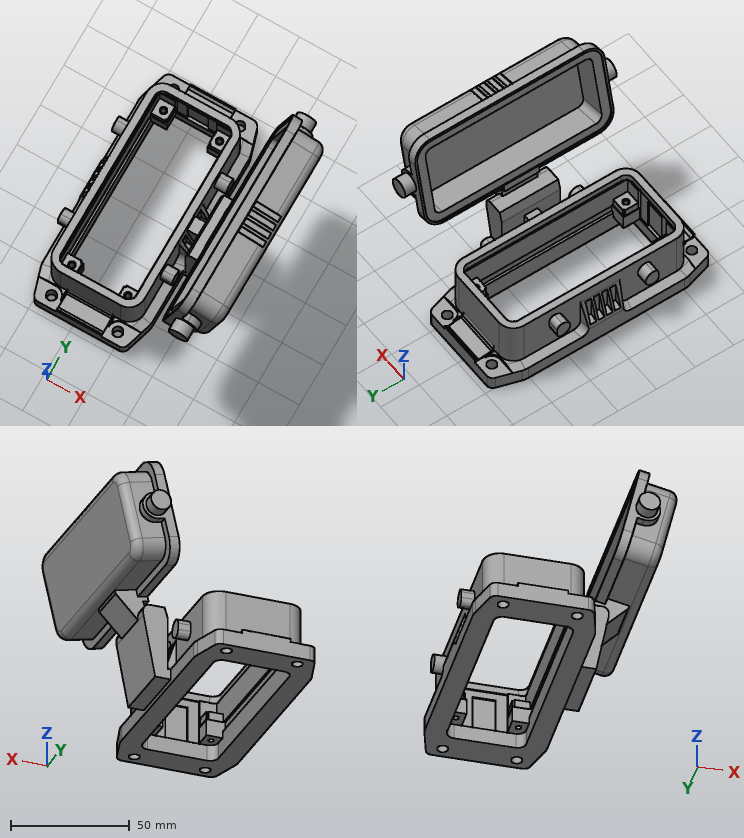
import cadquery as cq
import math

flange_length = 114.2
flange_half_width = 26.6
flange_end_half_width = 22.0
flange_taper_start = 42.0
flange_corner_radius = 3.2
flange_side_radius = 10.8
flange_height = 7.0
skirt_rise = 1.1
skirt_reach = 4.6

mount_hole_x = 16.1
mount_hole_y = 51.8
mount_hole_diameter = 4.7
pad_radius = 4.5

drip_half_width = 11.0
drip_lip_height = 8.6
drip_lip_thickness = 0.7
drip_floor_low = 7.3
drip_floor_high = 8.1
drip_floor_start = 55.0
drip_floor_end = 48.4
drip_shoulder_y = 47.6
drip_shoulder_height = 8.9
drip_top_height = 10.7

housing_half_width = 22.0
housing_half_length = 47.0
housing_height = 30.8
housing_corner_radius = 7.5
root_depth = 1.1
cut_clearance = 1.1

lip_half_width = 18.4
lip_half_length = 43.5
lip_corner_radius = 3.8
lip_bottom = 27.4
chamber_half_width = 17.7
chamber_half_length = 42.8
undercut_half_width = 18.5
undercut_top = 15.0
undercut_bottom = 10.3
throat_half_width = 17.2
throat_height = 7.3
end_recess_half_width = 10.0
end_recess_y = 44.2
end_panel_half_width = 5.0
end_panel_y = 45.0
end_panel_top = 24.0

boss_size = 7.8
boss_top = 18.8
boss_notch = 1.0
boss_step = 0.2
boss_hole_x = 13.6
boss_hole_y = 38.9
boss_hole_diameter = 2.3
boss_countersink_diameter = 3.3

pin_reach = 27.8
pin_radius = 4.1
pin_outer_round = 2.6
pin_y = 23.6
pin_z = 22.0

ramp_top = 24.8
ramp_bottom = 10.3
ramp_root_half_length = 10.2
ramp_tip_half_length = 9.0
ramp_flare = 3.8
slot_count = 4
slot_pitch = 4.2
slot_width = 3.0
slot_top = 23.5
slot_back_bottom = 12.9
slot_front_bottom = 11.2
slot_back_x = 22.4

hinge_half_length = 15.2
hinge_bottom = 2.2
hinge_top = 35.9
hinge_front_x = 27.9
hinge_round = 2.9
hinge_top_front_x = 29.3
hinge_back_x = 39.0
hinge_bottom_back_x = 33.7
hinge_shoulder = 30.8
web_half_length = 3.4
web_top = 26.5
web_flare = 2.4

lid_tilt = 12.8
lid_axis_x = 46.9
lid_axis_z = 64.4
lid_front = -7.2
rim_half_height = 23.6
rim_half_length = 49.1
rim_thickness = 4.6
rim_radius = 9.1
gasket_inset = 1.1
gasket_depth = 0.6
shell_half_height = 20.3
shell_half_length = 45.3
shell_radius = 7.3
shell_depth = 19.2
shell_back_round = 4.0
cavity_half_height = 18.3
cavity_half_length = 43.3
cavity_radius = 3.4
cavity_depth = 14.3
lug_radius = 4.6
lug_reach = 54.8
lug_boss_radius = 6.0
grip_count = 4
grip_pitch = 4.2
grip_width = 2.7
grip_depth = 0.7
grip_gap = 0.5

arm_half_length = 9.1
arm_root = -19.4
arm_tab_bottom = -25.8
arm_tab_depth = 2.5
arm_tip = -34.8
arm_tip_back = -0.5
arm_knee = -21.8
arm_back = 7.3


def block(x_half, y_half, bottom, top):
    """Box centred on the Z axis."""
    return cq.Workplane("XY").box(2 * x_half, 2 * y_half, top - bottom).translate((0, 0, (bottom + top) / 2))


def rounded_block(x_half, y_half, bottom, top, radius):
    return block(x_half, y_half, bottom, top).edges("|Z").fillet(radius)


def box_between(x0, x1, y0, y1, z0, z1):
    corner_box = cq.Workplane("XY").box(x1 - x0, y1 - y0, z1 - z0, centered=False)
    return corner_box.translate((x0, y0, z0))


def side_prism(points, y_half):
    """Outline in X and Z, extended equally to both sides of the XZ plane."""
    return cq.Workplane("XZ").polyline(points).close().extrude(y_half, both=True)


def row(count, pitch):
    return [(i - (count - 1) / 2) * pitch for i in range(count)]


def both_x(shape):
    return shape.union(shape.mirror("YZ"))


def four_corners(shape):
    half = shape.union(shape.mirror("YZ"))
    return half.union(half.mirror("XZ"))


def flange():
    half_length = flange_length / 2
    outline = [
        (flange_half_width, -flange_taper_start),
        (flange_half_width, flange_taper_start),
        (flange_end_half_width, half_length),
        (-flange_end_half_width, half_length),
        (-flange_half_width, flange_taper_start),
        (-flange_half_width, -flange_taper_start),
        (-flange_end_half_width, -half_length),
        (flange_end_half_width, -half_length),
    ]
    plate = cq.Workplane("XY").polyline(outline).close().extrude(flange_height)
    plate = plate.edges("|Z and (>Y or <Y)").fillet(flange_corner_radius)
    plate = plate.edges("|Z and (>X or <X)").fillet(flange_side_radius)
    skirt_angle = math.degrees(math.atan(skirt_reach / skirt_rise))
    skirt = cq.Workplane("XY").workplane(offset=flange_height).polyline(outline).close()
    skirt = skirt.extrude(skirt_rise, taper=skirt_angle)
    rounded_column = plate.translate((0, 0, flange_height))
    return plate.union(skirt.intersect(rounded_column))


def mounting_pads():
    """Space above the flat pads around the four mounting holes."""
    top = flange_height + 2 * skirt_rise
    y_end = flange_length / 2
    pad = box_between(mount_hole_x - pad_radius, flange_half_width, mount_hole_y, y_end, flange_height, top)
    pad = pad.union(box_between(mount_hole_x, flange_half_width, mount_hole_y - pad_radius, y_end,
                                flange_height, top))
    rim = cq.Workplane("XY").workplane(offset=flange_height).center(mount_hole_x, mount_hole_y)
    return four_corners(pad.union(rim.circle(pad_radius).extrude(top - flange_height)))


def mounting_holes():
    hole = cq.Workplane("XY").center(mount_hole_x, mount_hole_y).circle(mount_hole_diameter / 2)
    return four_corners(hole.extrude(flange_height))


def drip_channel_space():
    half_width = mount_hole_x - pad_radius
    space = box_between(-half_width, half_width, housing_half_length, flange_length / 2,
                        flange_height, drip_top_height)
    return space.union(space.mirror("XZ"))


def drip_channels():
    """Raised lip, sloping floor and shoulder against the housing, at each end."""
    end = flange_length / 2
    profile = [
        (housing_half_length - root_depth, 0),
        (end, 0),
        (end, drip_lip_height),
        (end - drip_lip_thickness, drip_lip_height),
        (drip_floor_start, drip_floor_low),
        (drip_floor_end, drip_floor_high),
        (drip_shoulder_y, drip_shoulder_height),
        (housing_half_length, drip_top_height),
        (housing_half_length - root_depth, drip_top_height),
    ]
    channel = cq.Workplane("YZ").polyline(profile).close().extrude(drip_half_width, both=True)
    return channel.union(channel.mirror("XZ"))


def flared_foot(root_half_length, tip_half_length, radius, tip_x):
    """Concave fillets along both sides of a wall that runs out from the housing over the sloping flange."""

    def add_profile(sketch, half_length, floor):
        return (
            sketch.moveTo(-half_length - radius, floor)
            .radiusArc((-half_length, floor + radius), -radius)
            .lineTo(half_length, floor + radius)
            .radiusArc((half_length + radius, floor), -radius)
            .close()
        )

    root = cq.Workplane("YZ").workplane(offset=housing_half_width)
    foot = add_profile(root, root_half_length, flange_height + skirt_rise)
    tip = foot.workplane(offset=tip_x - housing_half_width)
    return add_profile(tip, tip_half_length, flange_height).loft(ruled=True)


def ramps():
    root = housing_half_width - root_depth
    plan = [
        (root, -ramp_root_half_length),
        (housing_half_width, -ramp_root_half_length),
        (flange_half_width, -ramp_tip_half_length),
        (flange_half_width, ramp_tip_half_length),
        (housing_half_width, ramp_root_half_length),
        (root, ramp_root_half_length),
    ]
    wedge = cq.Workplane("XY").polyline(plan).close().extrude(ramp_top)
    foot = flared_foot(ramp_root_half_length, ramp_tip_half_length, ramp_flare, flange_half_width)
    wedge = wedge.union(foot)
    slope = [
        (root, 0),
        (flange_half_width, 0),
        (flange_half_width, ramp_bottom),
        (housing_half_width, ramp_top),
        (root, ramp_top),
    ]
    wedge = wedge.intersect(side_prism(slope, ramp_root_half_length + ramp_flare))
    slot_mouth_x = flange_half_width + cut_clearance
    slot = side_prism(
        [
            (slot_back_x, slot_back_bottom),
            (slot_mouth_x, slot_front_bottom),
            (slot_mouth_x, slot_top),
            (slot_back_x, slot_top),
        ],
        slot_width / 2,
    )
    for y in row(slot_count, slot_pitch):
        wedge = wedge.cut(slot.translate((0, y, 0)))
    return both_x(wedge)


def locking_pins():
    """Round towards the middle of the housing, flat with rounded corners on the outer side."""
    root = housing_half_width - root_depth
    outer_y = pin_y + pin_outer_round
    flat_half = pin_radius - pin_outer_round
    pin = (
        cq.Workplane("YZ").workplane(offset=root)
        .moveTo(pin_y, pin_z + pin_radius)
        .radiusArc((outer_y, pin_z + flat_half), pin_outer_round)
        .lineTo(outer_y, pin_z - flat_half)
        .radiusArc((pin_y, pin_z - pin_radius), pin_outer_round)
        .threePointArc((pin_y - pin_radius, pin_z), (pin_y, pin_z + pin_radius))
        .close()
    )
    return four_corners(pin.extrude(pin_reach - root))


def interior():
    space = rounded_block(lip_half_width, lip_half_length, lip_bottom, housing_height, lip_corner_radius)
    space = space.union(block(chamber_half_width, chamber_half_length, undercut_top, lip_bottom))
    space = space.union(block(undercut_half_width, chamber_half_length, undercut_bottom, undercut_top))
    space = space.union(block(throat_half_width, chamber_half_length, throat_height, undercut_bottom))
    throat = rounded_block(throat_half_width, lip_half_length, 0, throat_height, lip_corner_radius)
    space = space.union(throat)
    space = space.union(block(end_recess_half_width, end_recess_y, throat_height, lip_bottom))
    return space.union(block(end_panel_half_width, end_panel_y, throat_height, end_panel_top))


def corner_bosses():
    x0 = chamber_half_width - boss_size
    y0 = chamber_half_length - boss_size
    x1 = undercut_half_width
    y1 = lip_half_length
    boss = box_between(x0, x1, y0, y1, throat_height, undercut_top)
    boss = boss.union(box_between(x0 + boss_step, x1, y0 + boss_step, y1, undercut_top, boss_top))
    boss = boss.cut(box_between(x0, x0 + boss_notch, y0, y0 + boss_notch, undercut_top, boss_top))
    hole = cq.Workplane("XY").workplane(offset=boss_top).center(boss_hole_x, boss_hole_y)
    boss = boss.cut(hole.circle(boss_hole_diameter / 2).extrude(throat_height - boss_top))
    sink_depth = (boss_countersink_diameter - boss_hole_diameter) / 2
    sink = hole.circle(boss_countersink_diameter / 2).extrude(-sink_depth, taper=45)
    return four_corners(boss.cut(sink))


def hinge_bracket():
    body = side_prism(
        [
            (flange_half_width - root_depth, hinge_bottom),
            (hinge_bottom_back_x, hinge_bottom),
            (hinge_back_x, hinge_shoulder),
            (hinge_back_x, hinge_top),
            (hinge_top_front_x, hinge_top),
            (hinge_front_x, hinge_shoulder),
            (hinge_front_x, flange_height),
            (flange_half_width - root_depth, flange_height),
        ],
        hinge_half_length,
    )
    body = body.edges("|Y and >X and >Z").fillet(hinge_round)
    web_root = housing_half_width - root_depth
    web = box_between(web_root, hinge_front_x, -web_half_length, web_half_length, flange_height, web_top)
    foot = flared_foot(web_half_length, web_half_length, web_flare, hinge_front_x)
    return body.union(web).union(foot)


def lid_plate(half_height, half_length, radius, x0, x1):
    plate = box_between(x0, x1, -half_length, half_length, -half_height, half_height)
    return plate.edges("|X").fillet(radius)


def lid_lugs():
    boss = cq.Workplane("XZ").circle(lug_boss_radius).extrude(rim_half_length, both=True)
    boss = boss.union(box_between(lid_front + rim_thickness, 0, -rim_half_length, rim_half_length,
                                  -lug_boss_radius, lug_boss_radius))
    return boss.union(cq.Workplane("XZ").circle(lug_radius).extrude(lug_reach, both=True))


def lid_arm():
    tab_back = lid_front + arm_tab_depth
    outline = [
        (lid_front, arm_root),
        (lid_front, arm_tab_bottom),
        (tab_back, arm_tab_bottom),
        (tab_back, arm_tip),
        (arm_tip_back, arm_tip),
        (arm_back, arm_knee),
        (arm_back, arm_root),
    ]
    return side_prism(outline, arm_half_length)


def lid():
    rim_back = lid_front + rim_thickness
    lid_back = lid_front + shell_depth
    shell = lid_plate(shell_half_height, shell_half_length, shell_radius, rim_back, lid_back)
    shell = shell.faces(">X").edges().fillet(shell_back_round)
    for y in row(grip_count, grip_pitch):
        shell = shell.cut(box_between(rim_back + grip_gap, lid_back, y - grip_width / 2, y + grip_width / 2,
                                      shell_half_height - grip_depth, shell_half_height))
    rim = lid_plate(rim_half_height, rim_half_length, rim_radius, lid_front, rim_back)
    body = rim.union(shell).union(lid_lugs()).union(lid_arm())
    gasket = lid_plate(rim_half_height - gasket_inset, rim_half_length - gasket_inset,
                       rim_radius - gasket_inset, lid_front, lid_front + gasket_depth)
    cavity = lid_plate(cavity_half_height, cavity_half_length, cavity_radius,
                       lid_front, lid_front + cavity_depth)
    body = body.cut(gasket).cut(cavity)
    return body.rotate((0, 0, 0), (0, 1, 0), lid_tilt).translate((lid_axis_x, 0, lid_axis_z))


housing = rounded_block(housing_half_width, housing_half_length, 0, housing_height, housing_corner_radius)
base = flange().cut(mounting_pads()).cut(drip_channel_space()).union(drip_channels())
base = base.union(housing).union(ramps()).union(locking_pins()).union(hinge_bracket())
base = base.cut(interior()).cut(mounting_holes()).union(corner_bosses())
result = base.union(lid())